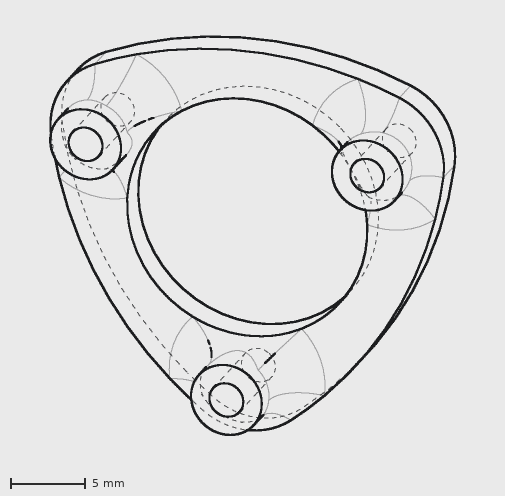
import cadquery as cq
import math

plate_thickness = 2.5
total_depth = 7.1
half_width = 13.92
total_height = 27.23
edge_distance = 11.95
opening_radius = 8.5
post_circle_radius = 11.5
post_radius = 2.5
bore_radius = 1.2
root_fillet = 3.0
box_margin = 0.03

corner_reach = total_height - edge_distance
corner_center = (corner_reach - half_width) / (1 - math.cos(math.radians(30)))
corner_radius = corner_reach - corner_center

corner_x = corner_center * math.sin(math.radians(60))
corner_z = corner_center * math.cos(math.radians(60))
height_offset = corner_z - edge_distance
side_radius = (corner_radius**2 - corner_x**2 - height_offset**2) / (2 * (height_offset + corner_radius))
side_center = side_radius - edge_distance
tangent_angle = math.degrees(math.atan2(corner_x, corner_z + side_center))
tangent_x = side_radius * math.sin(math.radians(tangent_angle))
tangent_z = side_radius * math.cos(math.radians(tangent_angle)) - side_center

corner_angles = (30, 150, 270)


def polar(radius, degrees):
    angle = math.radians(degrees)
    return radius * math.cos(angle), radius * math.sin(angle)


def make_plate():
    """Rounded triangular ring with its front face on Y = 0."""
    tangent_distance = math.hypot(tangent_x, tangent_z)
    tangent_offset = math.degrees(math.atan2(tangent_x, tangent_z))
    outline = cq.Workplane("XZ").moveTo(tangent_x, tangent_z)
    for corner in corner_angles:
        side = corner + 60
        outline = outline.threePointArc(
            polar(edge_distance, side), polar(tangent_distance, side + tangent_offset)
        ).threePointArc(
            polar(corner_reach, side + 60), polar(tangent_distance, side + 120 - tangent_offset)
        )
    return outline.close().circle(opening_radius).extrude(-plate_thickness)


def make_sector():
    """Third of the part around the lowest corner, with its post blended into the plate."""
    wedge_side = 2 * total_height
    wedge = (
        cq.Workplane("XZ")
        .polyline([(0, 0), polar(wedge_side, 210), polar(wedge_side, 330)])
        .close()
        .extrude(-plate_thickness)
    )
    post = (
        cq.Workplane("XZ")
        .center(0, -post_circle_radius)
        .circle(post_radius)
        .extrude(total_depth - plate_thickness)
    )
    sector = make_plate().intersect(wedge).union(post)
    reach = post_radius + box_margin
    post_root = cq.selectors.BoxSelector(
        (-reach, -box_margin, -post_circle_radius - reach),
        (reach, box_margin, -post_circle_radius + reach),
        boundingbox=True,
    )
    return sector.edges(post_root).fillet(root_fillet)


def make_bores():
    """Through holes along the post axes."""
    centers = [polar(post_circle_radius, corner) for corner in corner_angles]
    return (
        cq.Workplane("XZ", origin=(0, plate_thickness, 0))
        .pushPoints(centers)
        .circle(bore_radius)
        .extrude(total_depth)
    )


sector = make_sector()
body = sector
for turn in (120, 240):
    body = body.union(sector.rotate((0, 0, 0), (0, 1, 0), turn))

result = body.clean().cut(make_bores())